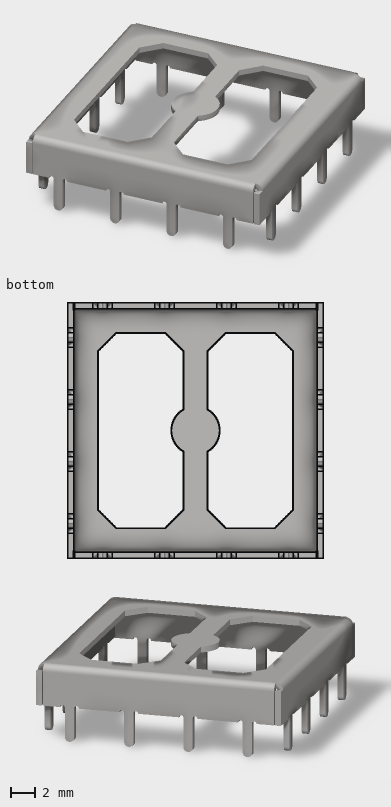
import cadquery as cq

side = 21.0
height = 6.4

sheet = 0.5
bend_radius = 0.59
inner_bend_radius = bend_radius - sheet
skirt_height = 3.5
half_side = side / 2
skirt_bottom = height - skirt_height
bend_line_z = height - bend_radius
trimmed_length = side - 2 * bend_radius

window_length = 16.0
bar_width = 2.0
window_width = (window_length - bar_width) / 2
window_corner = 1.5
hub_diameter = 4.0

pins_per_side = 4
pin_pitch = 5.08
pin_width = 0.8
pin_tip_radius = 0.38
notch_width = 0.4
notch_depth = notch_width / 2


def top_plate():
    """Flat plate between the bend lines, with two windows split by a bar and a hub."""
    plate = (
        cq.Workplane("XY")
        .workplane(offset=height - sheet)
        .rect(trimmed_length, trimmed_length)
        .extrude(sheet)
    )
    windows = (
        cq.Workplane("XY")
        .workplane(offset=height - sheet)
        .pushPoints([(sign * (bar_width + window_width) / 2, 0) for sign in (-1, 1)])
        .rect(window_width, window_length)
        .extrude(sheet)
        .edges("|Z")
        .chamfer(window_corner)
    )
    hub = (
        cq.Workplane("XY")
        .workplane(offset=height - sheet)
        .circle(hub_diameter / 2)
        .extrude(sheet)
    )
    return plate.cut(windows).union(hub)


def bend():
    """Quarter-round fold joining the top plate to the wall at -Y."""
    fold = (
        cq.Workplane("YZ")
        .center(bend_radius - half_side, bend_line_z)
        .circle(bend_radius)
        .circle(inner_bend_radius)
        .extrude(trimmed_length / 2, both=True)
    )
    outer_quadrant = (
        cq.Workplane("YZ")
        .center(-half_side, bend_line_z)
        .rect(bend_radius, bend_radius, centered=False)
        .extrude(trimmed_length / 2, both=True)
    )
    return fold.intersect(outer_quadrant)


def wall(length):
    """Upright wall at -Y, with its notches and its row of pins."""
    outer_face = cq.Workplane("XZ", origin=(0, -half_side, 0))
    panel = (
        outer_face.center(0, (skirt_bottom + bend_line_z) / 2)
        .rect(length, bend_line_z - skirt_bottom)
        .extrude(-sheet)
    )
    first_pin = -pin_pitch * (pins_per_side - 1) / 2
    pin_places = [first_pin + i * pin_pitch for i in range(pins_per_side)]
    notch_offset = (pin_width + notch_width) / 2
    notch_places = [x + sign * notch_offset for x in pin_places for sign in (-1, 1)]
    notches = (
        outer_face.pushPoints([(x, skirt_bottom) for x in notch_places])
        .circle(notch_depth)
        .extrude(-sheet)
    )
    pin_length = skirt_bottom + notch_depth
    pins = (
        outer_face.pushPoints([(x, pin_length / 2) for x in pin_places])
        .rect(pin_width, pin_length)
        .extrude(-sheet)
        .edges("|Y and <Z")
        .fillet(pin_tip_radius)
    )
    return panel.cut(notches).union(pins)


def flange(wall_length):
    """Bend and wall along the -Y side."""
    return bend().union(wall(wall_length))


result = top_plate()
for quarter_turn in range(4):
    wall_length = trimmed_length if quarter_turn % 2 == 0 else side
    folded_side = flange(wall_length).rotate((0, 0, 0), (0, 0, 1), 90 * quarter_turn)
    result = result.union(folded_side)